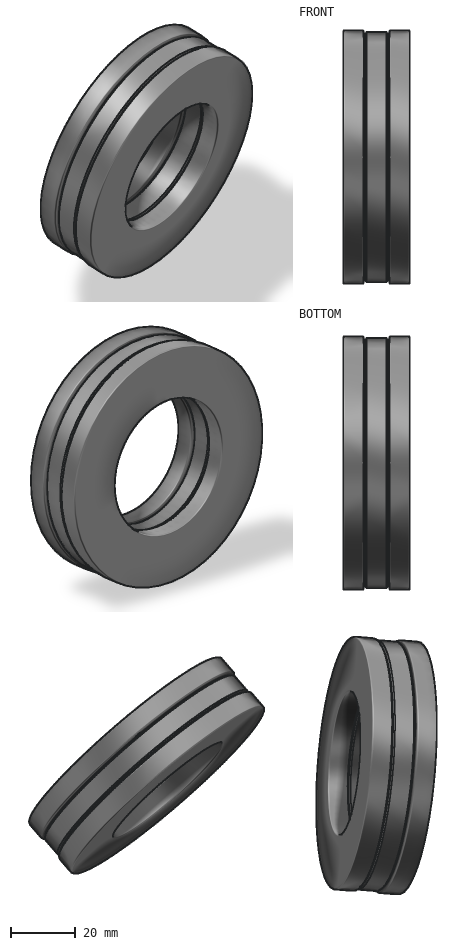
import cadquery as cq

OUTER_DIAMETER = 78.6
BORE_DIAMETER = 44.5
BEARING_WIDTH = 20.6
EDGE_BREAK = 0.51

ROLLER_COUNT = 4
ROLLER_DIAMETER = 7.9
ROLLER_INNER_RADIUS = 24.1
ROLLER_OUTER_RADIUS = 37.6
ROLLER_LENGTH = ROLLER_OUTER_RADIUS - ROLLER_INNER_RADIUS

WASHER_WIDTH = (BEARING_WIDTH - ROLLER_DIAMETER) / 2

CAGE_OUTER_DIAMETER = 77.55
CAGE_BORE_DIAMETER = 45.5
CAGE_WIDTH = 7.0


def make_ring(outer_diameter, bore_diameter, width, start_x):
    """Ring about the X axis, with sharp edges."""
    return (
        cq.Workplane("YZ", origin=(start_x, 0, 0))
        .circle(outer_diameter / 2)
        .circle(bore_diameter / 2)
        .extrude(width)
    )


def make_washer(start_x):
    """Ring with all four circular edges rounded."""
    ring = make_ring(OUTER_DIAMETER, BORE_DIAMETER, WASHER_WIDTH, start_x)
    return ring.edges("%CIRCLE").fillet(EDGE_BREAK)


def make_roller_blank(angle):
    """Plain radial cylinder, turned by the angle about the X axis."""
    return (
        cq.Workplane("XY", origin=(0, 0, ROLLER_INNER_RADIUS))
        .circle(ROLLER_DIAMETER / 2)
        .extrude(ROLLER_LENGTH)
        .rotate((0, 0, 0), (1, 0, 0), angle)
    )


def make_roller(angle):
    return make_roller_blank(angle).edges("%CIRCLE").fillet(EDGE_BREAK)


def make_cage(roller_angles):
    """Chamfered ring with one pocket per roller; the pockets break through both faces."""
    cage = make_ring(CAGE_OUTER_DIAMETER, CAGE_BORE_DIAMETER, CAGE_WIDTH, -CAGE_WIDTH / 2)
    cage = cage.edges("%CIRCLE").chamfer(EDGE_BREAK)
    for angle in roller_angles:
        cage = cage.cut(make_roller_blank(angle))
    return cage


roller_angles = [index * 360 / ROLLER_COUNT for index in range(ROLLER_COUNT)]

left_washer = make_washer(-BEARING_WIDTH / 2)
right_washer = make_washer(ROLLER_DIAMETER / 2)
cage = make_cage(roller_angles)
rollers = [make_roller(angle) for angle in roller_angles]

result = cq.Compound.makeCompound(
    [left_washer.val(), right_washer.val(), cage.val(), *[roller.val() for roller in rollers]]
)